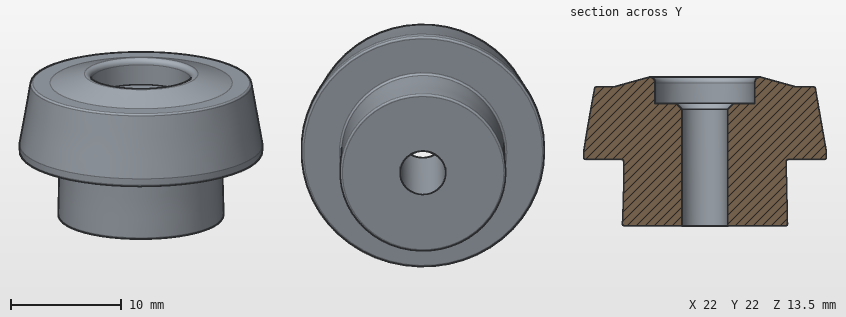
import cadquery as cq

total_height = 13.49
flange_bottom = 6.0
band_top = 6.8
rim_height = 12.6
pocket_floor = 11.09

flange_radius = 11
rim_radius = 9.99
cone_base_radius = 8.25
boss_bottom_radius = 7.5
boss_top_radius = 7.37

pocket_radius = 9.0 / 2
bore_radius = 4.14 / 2

edge_round = 0.2
pocket_lip_round = 0.5
bore_chamfer = 0.5

lip_center_radius = pocket_radius + pocket_lip_round
lip_center_height = total_height - pocket_lip_round
base_offset = cone_base_radius - lip_center_radius
base_drop = lip_center_height - rim_height
base_distance_squared = base_offset**2 + base_drop**2
tangent_length = (base_distance_squared - pocket_lip_round**2) ** 0.5
along_share = pocket_lip_round**2 / base_distance_squared
across_share = pocket_lip_round * tangent_length / base_distance_squared
lip_tangent_radius = lip_center_radius + along_share * base_offset + across_share * base_drop
lip_tangent_height = lip_center_height - along_share * base_drop + across_share * base_offset


def make_body():
    """Revolved knob: boss, tapered flange, conical crown and pocket with rounded lip."""
    profile = (
        cq.Workplane("XZ")
        .moveTo(0, 0)
        .lineTo(boss_bottom_radius, 0)
        .lineTo(boss_top_radius, flange_bottom)
        .lineTo(flange_radius, flange_bottom)
        .lineTo(flange_radius, band_top)
        .lineTo(rim_radius, rim_height)
        .lineTo(cone_base_radius, rim_height)
        .lineTo(lip_tangent_radius, lip_tangent_height)
        .threePointArc((lip_center_radius, total_height), (pocket_radius, lip_center_height))
        .lineTo(pocket_radius, pocket_floor)
        .lineTo(0, pocket_floor)
        .close()
    )
    return profile.revolve(360, (0, 0, 0), (0, 1, 0))


def circle_at(radius, height):
    """Selector for the circular edge of the given radius and height."""
    reach = 0.02
    low = (-radius - reach, -radius - reach, height - reach)
    high = (radius + reach, radius + reach, height + reach)
    inner_low = (-radius + reach, -radius + reach, height - reach)
    inner_high = (radius - reach, radius - reach, height + reach)
    outer_box = cq.selectors.BoxSelector(low, high, boundingbox=True)
    inner_box = cq.selectors.BoxSelector(inner_low, inner_high, boundingbox=True)
    return outer_box - inner_box


def round_edges(body):
    """Small rounds on the boss, at its root and on both edges of the flange."""
    rounded_circles = [
        (boss_bottom_radius, 0),
        (boss_top_radius, flange_bottom),
        (flange_radius, flange_bottom),
        (rim_radius, rim_height),
    ]
    for radius, height in rounded_circles:
        body = body.edges(circle_at(radius, height)).fillet(edge_round)
    return body


def cut_bore(body):
    """Through bore with a chamfered mouth in the pocket floor."""
    bore = cq.Workplane("XY").circle(bore_radius).extrude(pocket_floor)
    body = body.cut(bore)
    return body.edges(circle_at(bore_radius, pocket_floor)).chamfer(bore_chamfer)


result = cut_bore(round_edges(make_body()))